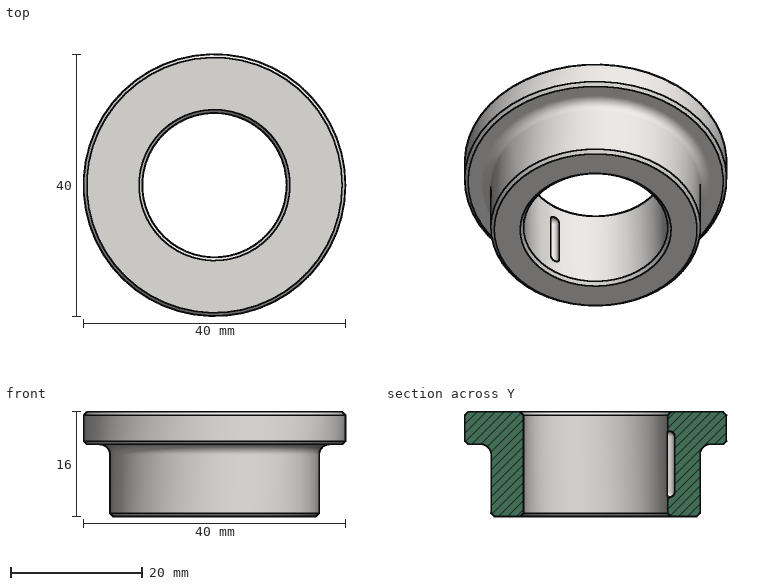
import cadquery as cq

total_height = 16.0
flange_diameter = 40.0
flange_thickness = 5.0
sleeve_diameter = 32.0
bore_diameter = 22.0
edge_chamfer = 0.5
neck_fillet = 1.5

groove_width = 1.5
groove_wall_depth = 0.3
groove_end_margin = 3.0

flange_radius = flange_diameter / 2
sleeve_radius = sleeve_diameter / 2
bore_radius = bore_diameter / 2
flange_bottom = total_height - flange_thickness


def flanged_sleeve():
    """Solid sleeve with a flange on top, chamfered rims and a rounded neck corner."""
    profile = (
        cq.Workplane("XZ")
        .lineTo(sleeve_radius - edge_chamfer, 0)
        .lineTo(sleeve_radius, edge_chamfer)
        .lineTo(sleeve_radius, flange_bottom - neck_fillet)
        .radiusArc((sleeve_radius + neck_fillet, flange_bottom), neck_fillet)
        .lineTo(flange_radius - edge_chamfer, flange_bottom)
        .lineTo(flange_radius, flange_bottom + edge_chamfer)
        .lineTo(flange_radius, total_height - edge_chamfer)
        .lineTo(flange_radius - edge_chamfer, total_height)
        .lineTo(0, total_height)
        .close()
    )
    return profile.revolve(360, (0, 0, 0), (0, 1, 0))


def bore():
    """Through bore with a chamfered mouth at each end."""
    hole = cq.Workplane("XY").circle(bore_radius).extrude(total_height)
    mouth_radius = bore_radius + edge_chamfer
    lower_mouth = cq.Solid.makeCone(mouth_radius, bore_radius, edge_chamfer)
    upper_mouth = lower_mouth.mirror("XY").translate((0, 0, total_height))
    return hole.union(cq.Workplane(lower_mouth)).union(cq.Workplane(upper_mouth))


def groove():
    """Stopped groove along the bore wall, with straight sides, round floor and round ends."""
    groove_radius = groove_width / 2
    floor_axis = bore_radius + groove_wall_depth
    length = total_height - 2 * groove_end_margin
    straight_length = length - groove_width
    lower_end = groove_end_margin + groove_radius
    upper_end = lower_end + straight_length

    cutter = (
        cq.Workplane("YZ", origin=(floor_axis - groove_width, 0, total_height / 2))
        .slot2D(length, groove_width, 90)
        .extrude(groove_width)
    )
    floor = (
        cq.Workplane("XY", origin=(floor_axis, 0, lower_end))
        .circle(groove_radius)
        .extrude(straight_length)
    )
    for end_height in (lower_end, upper_end):
        end_ball = cq.Workplane("XY", origin=(floor_axis, 0, end_height)).sphere(groove_radius)
        floor = floor.union(end_ball)
    return cutter.union(floor)


result = flanged_sleeve().cut(bore()).cut(groove())